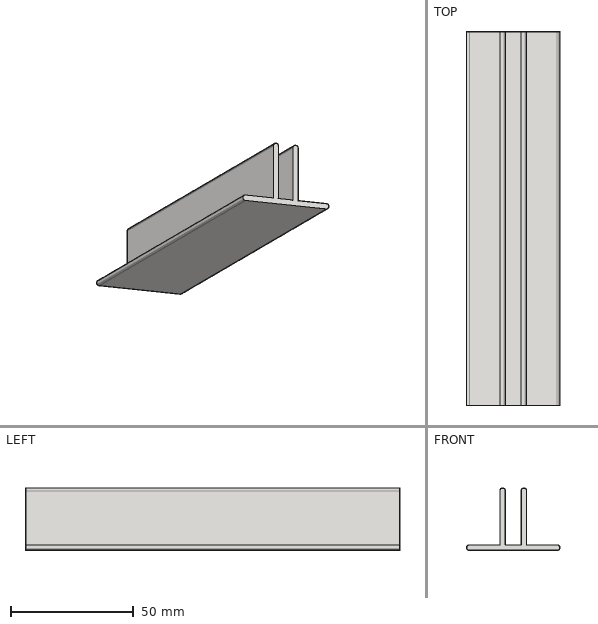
import cadquery as cq

length = 152.4
base_width = 38.1
height = 25.5
wall = 2.3
slot_width = 6.4

edge_radius = wall / 2
leg_offset = (slot_width + wall) / 2


def rounded_base():
    """Flat base strip along Y with fully rounded long edges."""
    flat_half_width = base_width / 2 - edge_radius
    return (
        cq.Workplane("XZ")
        .moveTo(-flat_half_width, 0)
        .lineTo(flat_half_width, 0)
        .threePointArc((base_width / 2, edge_radius), (flat_half_width, wall))
        .lineTo(-flat_half_width, wall)
        .threePointArc((-base_width / 2, edge_radius), (-flat_half_width, 0))
        .close()
        .extrude(length / 2, both=True)
    )


def upright_leg(center_x):
    """Upright wall with a fully rounded top, rooted halfway into the base."""
    left = center_x - wall / 2
    right = center_x + wall / 2
    root = wall / 2
    shoulder = height - edge_radius
    return (
        cq.Workplane("XZ")
        .moveTo(left, root)
        .lineTo(right, root)
        .lineTo(right, shoulder)
        .threePointArc((center_x, height), (left, shoulder))
        .close()
        .extrude(length / 2, both=True)
    )


result = rounded_base()
for side in (-1, 1):
    result = result.union(upright_leg(side * leg_offset))